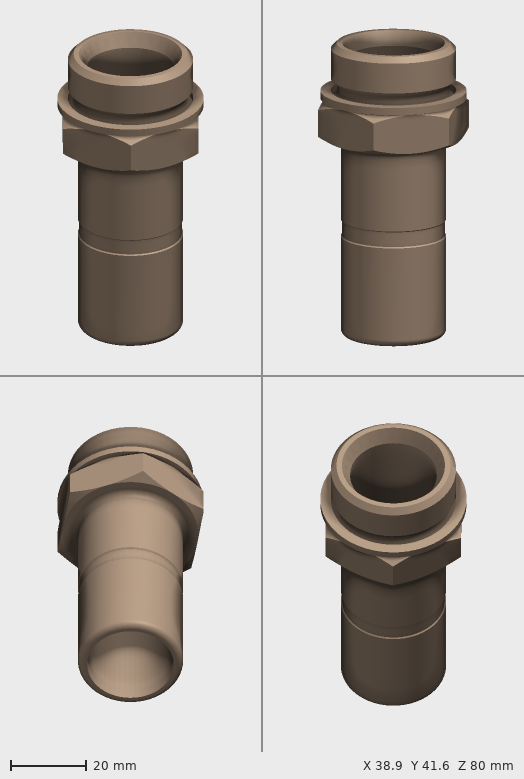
import cadquery as cq
import math

length = 80.0
bore_diameter = 23.0
tube_diameter = 28.0

thread_diameter = 33.3
thread_chamfer = 1.5
thread_bottom_z = 70.3
mouth_diameter = 27.4
mouth_depth = 3.8

relief_diameter = 29.9
relief_cone_size = 0.9
relief_arc_height = 1.7
washer_bore_diameter = 33.3

washer_diameter = 38.9
washer_top_z = 67.0
washer_thickness = 2.0
collar_diameter = 36.0
collar_height = 0.5

hex_sides = 6
hex_across_flats = 36.0
hex_bottom_z = 54.0
hex_chamfer_angle = 30.0

shoulder_radius = 1.8
end_radius = 1.9
groove_diameter = 27.4
groove_bottom_z = 27.5
groove_top_z = 31.5
groove_edge = 0.3

bore_radius = bore_diameter / 2
tube_radius = tube_diameter / 2
thread_radius = thread_diameter / 2
relief_radius = relief_diameter / 2
washer_radius = washer_diameter / 2
collar_radius = collar_diameter / 2
washer_bottom_z = washer_top_z - washer_thickness
hex_top_z = washer_bottom_z - collar_height


def make_turned_body():
    """Revolved outside profile: tube, shoulder, collar, washer, relief and thread."""
    groove_radius = groove_diameter / 2
    diagonal = math.sqrt(0.5)
    end_mid = end_radius * (1 - diagonal)
    shoulder_mid = shoulder_radius * (1 - diagonal)
    washer_bore_radius = washer_bore_diameter / 2
    relief_arc_radius = thread_radius - relief_cone_size
    upper_arc_end_z = thread_bottom_z - relief_cone_size
    upper_arc_start_z = upper_arc_end_z - relief_arc_height
    lower_arc_start_z = washer_bottom_z + relief_cone_size
    lower_arc_end_z = lower_arc_start_z + relief_arc_height
    arc_inset = relief_arc_radius - relief_radius
    arc_radius = (arc_inset**2 + relief_arc_height**2) / (2 * arc_inset)
    arc_half_angle = math.asin(relief_arc_height / arc_radius) / 2
    lower_mid_radius = relief_radius + arc_radius * (1 - math.cos(arc_half_angle))
    lower_mid_z = lower_arc_end_z - arc_radius * math.sin(arc_half_angle)
    profile = (
        cq.Workplane("XZ")
        .moveTo(0, 0)
        .lineTo(tube_radius - end_radius, 0)
        .threePointArc((tube_radius - end_mid, end_mid), (tube_radius, end_radius))
        .lineTo(tube_radius, groove_bottom_z - groove_edge)
        .lineTo(groove_radius, groove_bottom_z)
        .lineTo(groove_radius, groove_top_z)
        .lineTo(tube_radius, groove_top_z + groove_edge)
        .lineTo(tube_radius, hex_bottom_z - shoulder_radius)
        .threePointArc(
            (tube_radius + shoulder_mid, hex_bottom_z - shoulder_mid),
            (tube_radius + shoulder_radius, hex_bottom_z),
        )
        .lineTo(collar_radius, hex_bottom_z)
        .lineTo(collar_radius, washer_bottom_z)
        .lineTo(washer_radius, washer_bottom_z)
        .lineTo(washer_radius, washer_top_z)
        .lineTo(washer_bore_radius, washer_top_z)
        .lineTo(washer_bore_radius, washer_bottom_z)
        .lineTo(relief_arc_radius, lower_arc_start_z)
        .threePointArc((lower_mid_radius, lower_mid_z), (relief_radius, lower_arc_end_z))
        .lineTo(relief_radius, upper_arc_start_z)
        .tangentArcPoint((relief_arc_radius, upper_arc_end_z), relative=False)
        .lineTo(thread_radius, thread_bottom_z)
        .lineTo(thread_radius, length - thread_chamfer)
        .lineTo(thread_radius - thread_chamfer, length)
        .lineTo(0, length)
        .close()
    )
    return profile.revolve(360, (0, 0, 0), (0, 1, 0))


def make_hexagon():
    """Hexagon with two corners on the Y axis and conically chamfered ends."""
    half_side_angle = 180 / hex_sides
    corner_radius = hex_across_flats / 2 / math.cos(math.radians(half_side_angle))
    chamfer_height = (corner_radius - collar_radius) * math.tan(math.radians(hex_chamfer_angle))
    hexagon = (
        cq.Workplane("XY")
        .workplane(offset=hex_bottom_z)
        .polygon(hex_sides, 2 * corner_radius)
        .extrude(hex_top_z - hex_bottom_z)
        .rotate((0, 0, 0), (0, 0, 1), half_side_angle)
    )
    chamfer_envelope = (
        cq.Workplane("XZ")
        .polyline([
            (0, hex_bottom_z),
            (collar_radius, hex_bottom_z),
            (corner_radius, hex_bottom_z + chamfer_height),
            (corner_radius, hex_top_z - chamfer_height),
            (collar_radius, hex_top_z),
            (0, hex_top_z),
        ])
        .close()
        .revolve(360, (0, 0, 0), (0, 1, 0))
    )
    return hexagon.intersect(chamfer_envelope)


def make_bore():
    """Through bore with a conical mouth at the threaded end."""
    return (
        cq.Workplane("XZ")
        .polyline([
            (0, 0),
            (bore_radius, 0),
            (bore_radius, length - mouth_depth),
            (mouth_diameter / 2, length),
            (0, length),
        ])
        .close()
        .revolve(360, (0, 0, 0), (0, 1, 0))
    )


result = make_turned_body().union(make_hexagon()).cut(make_bore())